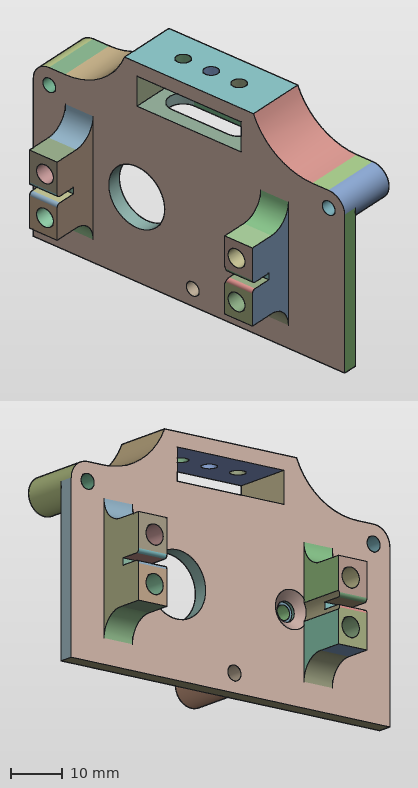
import cadquery as cq
import math

width = 78.05
height = 50.2
depth_behind = 13.5
plate_thickness = 3.3
center_x = width / 2
shoulder_z = 40.2
corner_radius = 4.02
flank_start_x = 8.0
crown_width = 32.3

window_width = 26.1
window_bottom = shoulder_z
window_top = 47.05
shelf_thickness = 2.5
crown_hole_diameter = 3.2
crown_hole_pitch = 7.0
shelf_slot_width = 6.7

standoff_diameter = 2 * corner_radius
mount_hole_diameter = 3.2
bottom_standoff_x = 39.95
round_feature_z = 19.35
large_hole_x = 25.9
large_hole_diameter = 14.0
screw_x = 54.0
screw_hole_diameter = 3.1
screw_standoff_diameter = 7.0
screw_recess_diameter = 4.2
screw_recess_depth = 2.7
countersink_diameter = 8.0
head_clearance_diameter = 7.0
countersink_depth = 1.95

bracket_left_edges = (8.0, 57.0)
bracket_width = 6.95
bracket_length = 10.9
bracket_height = 17.9
bracket_center_z = 19.35
root_radius = 5.15
clamp_gap = 1.5
clamp_gap_depth = 5.0
clamp_edge_radius = 0.8
clamp_hole_diameter = 4.2
clamp_hole_pitch = 10.0
clamp_hole_xs = (11.95, 59.9)


def cylinder_y(x, z, diameter, start_y, end_y):
    """Cylinder along Y between two depths."""
    return (
        cq.Workplane("XZ", origin=(x, start_y, z))
        .circle(diameter / 2)
        .extrude(start_y - end_y)
    )


def outline():
    """Closed front outline with rounded shoulders and concave flanks."""
    crown_left = center_x - crown_width / 2
    run = crown_left - flank_start_x
    rise = height - shoulder_z
    flank_radius = (run**2 + rise**2) / (2 * rise)
    half_angle = math.asin(run / flank_radius) / 2
    flank_mid_x = flank_start_x + flank_radius * math.sin(half_angle)
    flank_mid_z = shoulder_z + flank_radius * (1 - math.cos(half_angle))
    corner_inset = corner_radius * (1 - math.sqrt(0.5))
    corner_z = shoulder_z - corner_radius
    return (
        cq.Workplane("XZ")
        .lineTo(width, 0)
        .lineTo(width, corner_z)
        .threePointArc(
            (width - corner_inset, shoulder_z - corner_inset),
            (width - corner_radius, shoulder_z),
        )
        .lineTo(width - flank_start_x, shoulder_z)
        .threePointArc((width - flank_mid_x, flank_mid_z), (width - crown_left, height))
        .lineTo(crown_left, height)
        .threePointArc((flank_mid_x, flank_mid_z), (flank_start_x, shoulder_z))
        .lineTo(corner_radius, shoulder_z)
        .threePointArc((corner_inset, shoulder_z - corner_inset), (0, corner_z))
        .close()
    )


def make_body():
    """Thin plate whose crown and shelf reach the full depth."""
    plate = outline().extrude(-plate_thickness)
    shelf_bottom = shoulder_z - shelf_thickness
    crown_zone = cq.Workplane().box(
        width - 2 * corner_radius, depth_behind, height - shelf_bottom, centered=False
    ).translate((corner_radius, 0, shelf_bottom))
    crown = outline().extrude(-depth_behind).intersect(crown_zone)
    return plate.union(crown)


def cut_crown(body):
    """Window through the crown, slotted shelf and three vertical holes."""
    window = cq.Workplane().box(
        window_width, depth_behind, window_top - window_bottom, centered=(True, False, False)
    ).translate((center_x, 0, window_bottom))
    slot_length = 2 * crown_hole_pitch + shelf_slot_width
    shelf_slot = (
        cq.Workplane("XY", origin=(center_x, depth_behind / 2, shoulder_z))
        .slot2D(slot_length, shelf_slot_width)
        .extrude(-shelf_thickness)
    )
    holes = (
        cq.Workplane("XY", origin=(center_x, depth_behind / 2, height))
        .rarray(crown_hole_pitch, 0.8, 3, 1)
        .circle(crown_hole_diameter / 2)
        .extrude(window_top - height)
    )
    return body.cut(window).cut(shelf_slot).cut(holes)


def make_bracket(left_x):
    """Bracket with concave roots and a rounded clamp gap, extruded along X."""
    half = bracket_height / 2
    root_half = half + root_radius
    gap_half = clamp_gap / 2
    inset = root_radius * (1 - math.sqrt(0.5))
    block = (
        cq.Workplane("YZ", origin=(left_x, 0, bracket_center_z))
        .moveTo(0, -root_half)
        .threePointArc((-inset, -half - inset), (-root_radius, -half))
        .lineTo(-bracket_length, -half)
        .lineTo(-bracket_length, half)
        .lineTo(-root_radius, half)
        .threePointArc((-inset, half + inset), (0, root_half))
        .close()
        .extrude(bracket_width)
    )
    gap = cq.Workplane().box(
        bracket_width, clamp_gap_depth, clamp_gap, centered=(False, False, True)
    ).translate((left_x, -bracket_length, bracket_center_z))
    gap_edges = cq.selectors.BoxSelector(
        (left_x, -bracket_length - gap_half, bracket_center_z - clamp_gap),
        (left_x + bracket_width, -bracket_length + gap_half, bracket_center_z + clamp_gap),
    )
    return block.cut(gap).edges(gap_edges).edges("|X").fillet(clamp_edge_radius)


body = cut_crown(make_body())

mounts = (
    (corner_radius, shoulder_z - corner_radius),
    (width - corner_radius, shoulder_z - corner_radius),
    (bottom_standoff_x, corner_radius),
)
for x, z in mounts:
    body = body.union(cylinder_y(x, z, standoff_diameter, plate_thickness, depth_behind))
for x, z in mounts:
    body = body.cut(cylinder_y(x, z, mount_hole_diameter, 0, depth_behind))

body = body.union(
    cylinder_y(screw_x, round_feature_z, screw_standoff_diameter, plate_thickness, depth_behind)
)
body = body.cut(cylinder_y(large_hole_x, round_feature_z, large_hole_diameter, 0, plate_thickness))

for left_x in bracket_left_edges:
    body = body.union(make_bracket(left_x))
for x in clamp_hole_xs:
    for side in (-1, 1):
        z = bracket_center_z + side * clamp_hole_pitch / 2
        body = body.cut(cylinder_y(x, z, clamp_hole_diameter, -bracket_length, plate_thickness))

countersink = cq.Workplane(
    cq.Solid.makeCone(
        countersink_diameter / 2,
        screw_recess_diameter / 2,
        countersink_depth,
        cq.Vector(screw_x, 0, round_feature_z),
        cq.Vector(0, 1, 0),
    )
)
body = body.cut(cylinder_y(screw_x, round_feature_z, head_clearance_diameter, -bracket_length, 0))
body = body.cut(countersink)
body = body.cut(cylinder_y(screw_x, round_feature_z, screw_recess_diameter, 0, screw_recess_depth))
body = body.cut(cylinder_y(screw_x, round_feature_z, screw_hole_diameter, 0, depth_behind))

result = body